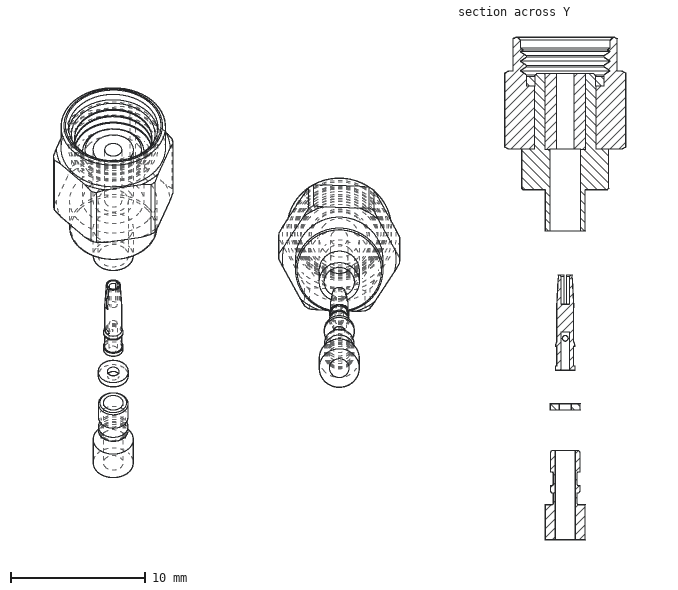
import cadquery as cq
import math


def turned(profile):
    """Solid of revolution about Z from a closed (radius, z) outline."""
    return cq.Workplane("XZ").polyline(profile).close().revolve(360, (0, 0, 0), (0, 1, 0))


def rod(diameter, bottom, top):
    """Plain cylinder on the Z axis between two heights."""
    return cq.Workplane("XY").workplane(offset=bottom).circle(diameter / 2).extrude(top - bottom)


small_break = 0.1

nut_top = 37.45
hex_top = 34.95
hex_bottom = 29.1
hex_flats = 8.0
hex_corner_diameter = 9.03
hex_end_diameter = 8.45
hex_chamfer_angle = 30.0
rim_diameter = 7.8
rim_bevel_width = 0.22
rim_bevel_height = 0.1
entry_diameter = 6.65
entry_depth = 0.82
mouth_bevel = 0.22
lead_in_depth = 0.15
lead_in_diameter = 6.2
thread_minor_diameter = 5.77
thread_pitch = 0.7
thread_crests = 3
thread_crest_height = 0.1

boss_diameter = 4.57
boss_top = 34.75
boss_bevel = 0.2
body_diameter = 6.5
body_bottom = 26.07
tube_diameter = 3.0
tube_bottom = 23.0
tube_bore_diameter = 2.25
insulator_diameter = 3.0
insulator_hole_diameter = 1.27
gasket_recess = 0.22
gasket_thickness = 0.7

pin_diameter = 1.27
pin_tip_diameter = 1.05
pin_flange_diameter = 1.45
pin_bore_diameter = 0.6
pin_mouth_diameter = 0.85
pin_top = 19.75
taper_bottom = 17.57
barb_top = 14.75
barb_edge = 14.55
barb_bottom = 14.42
pin_flange_top = 12.95
pin_bottom = 12.62
slot_width = 0.15
wire_hole_depth = 2.85
cross_hole_diameter = 0.4
cross_hole_height = 15.02

washer_diameter = 2.25
washer_hole_diameter = 0.85
washer_bottom = 9.65
washer_top = 10.15

collar_diameter = 3.0
collar_top = 2.62
neck_diameter = 1.8
ring_diameter = 2.2
ring_bottom = 3.5
ring_top = 4.05
head_bottom = 5.05
ferrule_top = 6.65
ferrule_bore_diameter = 1.45

hex_across_points = hex_flats / math.cos(math.pi / 6)
gasket_top = boss_top - gasket_recess
gasket_bottom = gasket_top - gasket_thickness
first_crest = gasket_top + (thread_crests - 1) * thread_pitch
thread_flank_height = (thread_pitch - thread_crest_height) / 2


def make_nut():
    hexagon = (
        cq.Workplane("XY").workplane(offset=hex_bottom)
        .polygon(6, hex_across_points).extrude(hex_top - hex_bottom)
    )
    corner = hex_corner_diameter / 2
    end = hex_end_diameter / 2
    drop = (corner - end) * math.tan(math.radians(hex_chamfer_angle))
    envelope = turned([
        (0, hex_bottom), (end, hex_bottom), (corner, hex_bottom + drop),
        (corner, hex_top - drop), (end, hex_top), (0, hex_top),
    ])
    rim = rim_diameter / 2
    rim_ring = turned([
        (0, hex_top), (rim, hex_top), (rim, nut_top - rim_bevel_height),
        (rim - rim_bevel_width, nut_top), (0, nut_top),
    ])
    blank = hexagon.intersect(envelope).union(rim_ring)

    entry = entry_diameter / 2
    minor = thread_minor_diameter / 2
    lead_in_top = nut_top - entry_depth
    bore = [
        (0, nut_top), (entry + mouth_bevel, nut_top), (entry, nut_top - mouth_bevel), (entry, lead_in_top),
        (lead_in_diameter / 2, lead_in_top - lead_in_depth),
    ]
    for crest in range(thread_crests):
        crest_z = first_crest - crest * thread_pitch
        crest_top = crest_z + thread_crest_height
        bore += [(entry, crest_top + thread_flank_height), (minor, crest_top), (minor, crest_z)]
    bore += [
        (minor, gasket_bottom), (boss_diameter / 2, gasket_bottom),
        (boss_diameter / 2, hex_bottom), (0, hex_bottom),
    ]
    return blank.cut(turned(bore))


def make_body():
    boss = rod(boss_diameter, hex_bottom, boss_top).faces(">Z").chamfer(boss_bevel)
    barrel = rod(body_diameter, body_bottom, hex_bottom).faces("<Z").chamfer(small_break)
    tube = rod(tube_diameter, tube_bottom, body_bottom)
    body = boss.union(barrel).union(tube)
    body = body.cut(rod(insulator_diameter, hex_bottom, boss_top))
    return body.cut(rod(tube_bore_diameter, tube_bottom, hex_bottom))


def make_insulator():
    return rod(insulator_diameter, hex_bottom, boss_top).cut(
        rod(insulator_hole_diameter, hex_bottom, boss_top)
    )


def make_gasket():
    ring = rod(thread_minor_diameter, gasket_bottom, gasket_top)
    return ring.cut(rod(boss_diameter, gasket_bottom, gasket_top))


def make_pin():
    radius = pin_diameter / 2
    flange = pin_flange_diameter / 2
    pin = turned([
        (0, pin_bottom), (flange, pin_bottom), (flange, pin_flange_top), (radius, pin_flange_top),
        (radius, barb_bottom), (flange, barb_bottom), (flange, barb_edge), (radius, barb_top),
        (radius, taper_bottom), (pin_tip_diameter / 2, pin_top), (0, pin_top),
    ])
    socket = rod(pin_bore_diameter, taper_bottom, pin_top)
    mouth_depth = (pin_mouth_diameter - pin_bore_diameter) / 2
    mouth = turned([
        (0, pin_top), (pin_mouth_diameter / 2, pin_top),
        (pin_bore_diameter / 2, pin_top - mouth_depth), (0, pin_top - mouth_depth),
    ])
    slot = cq.Workplane("XY").box(
        slot_width, pin_flange_diameter, pin_top - taper_bottom, centered=(True, True, False)
    ).translate((0, 0, taper_bottom))
    wire_hole = rod(pin_bore_diameter, pin_bottom, pin_bottom + wire_hole_depth)
    cross_hole = (
        cq.Workplane("XZ").center(0, cross_hole_height)
        .circle(cross_hole_diameter / 2).extrude(pin_flange_diameter)
    )
    return pin.cut(socket).cut(mouth).cut(slot).cut(wire_hole).cut(cross_hole)


def make_washer():
    disc = rod(washer_diameter, washer_bottom, washer_top)
    return disc.cut(rod(washer_hole_diameter, washer_bottom, washer_top))


def make_ferrule():
    collar = collar_diameter / 2
    neck = neck_diameter / 2
    ring = ring_diameter / 2
    root = neck + small_break
    bore = ferrule_bore_diameter / 2
    outline = (
        cq.Workplane("XZ").moveTo(bore, 0).lineTo(collar, 0).lineTo(collar, collar_top)
        .lineTo(root, collar_top)
        .radiusArc((neck, collar_top + small_break), small_break)
        .lineTo(neck, ring_bottom).lineTo(ring - small_break, ring_bottom)
        .lineTo(ring, ring_bottom + small_break).lineTo(ring, ring_top).lineTo(root, ring_top)
        .radiusArc((neck, ring_top + small_break), small_break)
        .lineTo(neck, head_bottom - small_break)
        .radiusArc((root, head_bottom), small_break)
        .lineTo(ring, head_bottom).lineTo(ring, ferrule_top - small_break)
        .lineTo(ring - small_break, ferrule_top).lineTo(bore, ferrule_top).close()
    )
    return outline.revolve(360, (0, 0, 0), (0, 1, 0))


nut = make_nut()
body = make_body()
insulator = make_insulator()
gasket = make_gasket()
pin = make_pin()
washer = make_washer()
ferrule = make_ferrule()

result = cq.Compound.makeCompound([
    nut.val(), body.val(), insulator.val(), gasket.val(), pin.val(), washer.val(), ferrule.val(),
])